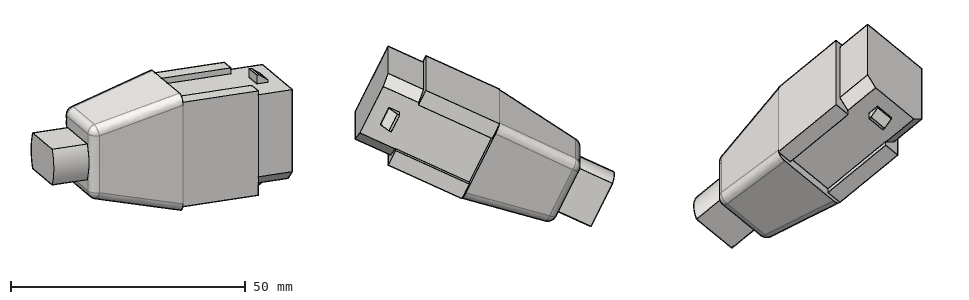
import cadquery as cq


boot_width = 18.6
boot_height = 26.6
boot_length = 20.5
boot_end_width = 15.1
boot_end_height = 16.1
boot_round = 2.0

body_length = 17.4
body_height = 23.8
rail_width = 3.65

plug_length = 8.35
plug_width = 16.3
plug_height = 21.1
plug_bevel = 2.4

lug_width = 4.15
lug_length = 2.55
lug_height = 2.0
lug_inset = 3.1
lug_lip = 0.55

total_length = 54.35
cable_length = total_length - boot_length - body_length - plug_length
cable_width = 12.4
cable_flat_width = 10.65
cable_height = 8.15

plug_end = body_length + plug_length


def block(width, start, length, height):
    """Box centred on X and Z, running toward +Y from start."""
    return cq.Workplane("XY").box(width, length, height).translate((0, start + length / 2, 0))


def make_boot():
    """Tapered boot, rounded on every edge except those of its base."""
    taper = (
        cq.Workplane("XZ")
        .rect(boot_width, boot_height)
        .workplane(offset=boot_length)
        .rect(boot_end_width, boot_end_height)
        .loft(ruled=True)
    )
    base_edges = taper.faces(">Y").edges().vals()
    rounded_edges = [
        edge for edge in taper.edges().vals()
        if not any(edge.isSame(base_edge) for base_edge in base_edges)
    ]
    return taper.newObject(rounded_edges).fillet(boot_round)


def make_body():
    """Body block whose top and bottom are cut down to tongue height between the rails."""
    full = block(boot_width, 0, body_length, body_height)
    middle_width = boot_width - 2 * rail_width
    middle = block(middle_width, 0, body_length, body_height)
    core = block(middle_width, 0, body_length, plug_height)
    return full.cut(middle).union(core)


def make_plug():
    """Plug tongue with both lower long edges bevelled."""
    plug = block(plug_width, body_length, plug_length, plug_height)
    return plug.faces("<Z").edges("|Y").chamfer(plug_bevel)


def make_upper_lug():
    """Latch lug ramping up from the plug end to a square catch."""
    rear = plug_end - lug_inset
    front = rear - lug_length
    base = plug_height / 2
    top = base + lug_height
    return (
        cq.Workplane("YZ")
        .moveTo(rear, base)
        .lineTo(rear, base + lug_lip)
        .lineTo(front + lug_lip, top)
        .lineTo(front, top)
        .lineTo(front, base)
        .close()
        .extrude(lug_width / 2, both=True)
    )


def make_cable():
    """Cable stub, rooted inside the boot because it is wider than the flat of the boot end."""
    root_depth = boot_round
    half_flat = cable_flat_width / 2
    half_height = cable_height / 2
    return (
        cq.Workplane("XZ", origin=(0, root_depth - boot_length, 0))
        .moveTo(-half_flat, half_height)
        .lineTo(half_flat, half_height)
        .threePointArc((cable_width / 2, 0), (half_flat, -half_height))
        .lineTo(-half_flat, -half_height)
        .threePointArc((-cable_width / 2, 0), (-half_flat, half_height))
        .close()
        .extrude(root_depth + cable_length)
    )


upper_lug = make_upper_lug()

result = (
    make_boot()
    .union(make_body())
    .union(make_plug())
    .union(upper_lug)
    .union(upper_lug.mirror("XY"))
    .union(make_cable())
)